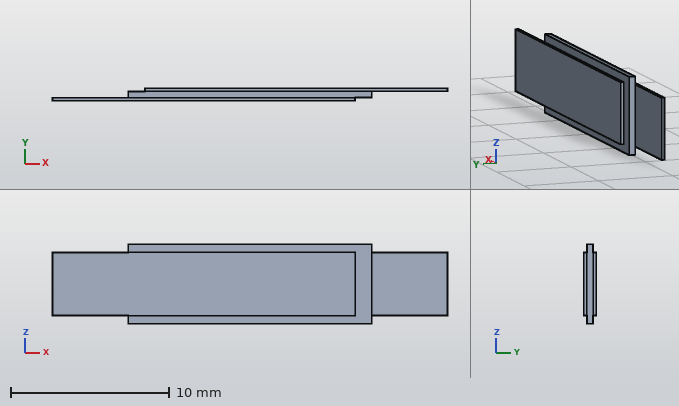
import cadquery as cq

overall_length = 25.0
body_length = 15.42
body_thickness = 0.4
body_height = 5.05
lead_length = 19.15
lead_thickness = 0.2
lead_height = 4.0

lead_shift_x = (overall_length - lead_length) / 2
lead_shift_y = (body_thickness + lead_thickness) / 2


def lead(side):
    """Flat lead: side -1 is the front face and -X end, +1 the back face and +X end."""
    strip = cq.Workplane("XY").box(lead_length, lead_thickness, lead_height)
    return strip.translate((side * lead_shift_x, side * lead_shift_y, 0))


result = cq.Workplane("XY").box(body_length, body_thickness, body_height)
for side in (-1, 1):
    result = result.union(lead(side))